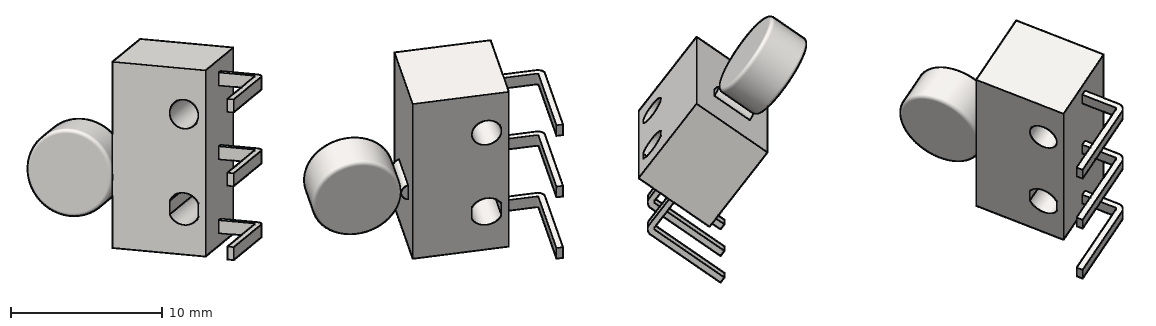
import cadquery as cq

OVERALL_X = 15.96
OVERALL_Y = 8.9

HOUSING_X = 6.5
HOUSING_Y = 5.81
HOUSING_Z = 12.8

HOLE_X = 5.0
HOLE_Z = 3.25
HOLE_DIAMETER = 2.0
SLOT_DIAMETER = 2.2

TERMINAL_WIDTH = 0.9
TERMINAL_PITCH = 5.08
TERMINAL_COUNT = 3
TERMINAL_BACK_Y = 0.2
TERMINAL_TIP_Y = HOUSING_Y / 2 - OVERALL_Y
ROOT_THICKNESS = 0.4
LEG_THICKNESS = 0.45
BEND_OUTER_RADIUS = 0.5
BEND_INNER_RADIUS = 0.1

ROLLER_DIAMETER = 6.0
ROLLER_LENGTH = 2.98
ROLLER_EDGE_RADIUS = 0.25
ROLLER_Z = -1.96
PLUNGER_RADIUS = 0.6
PLUNGER_LENGTH = 2.9
PLUNGER_REACH = 0.46

ROLLER_X = -PLUNGER_REACH - ROLLER_DIAMETER / 2
TERMINAL_END_X = ROLLER_X - ROLLER_DIAMETER / 2 + OVERALL_X


def cylinder_along_y(diameter, length, x, z):
    """Cylinder parallel to Y, centred on Y = 0."""
    return (
        cq.Workplane("XZ", origin=(x, length / 2, z))
        .circle(diameter / 2)
        .extrude(length)
    )


def make_slot():
    """Round cutter with two flat sides, for the lower mounting hole."""
    flats = cq.Workplane("XY").box(HOLE_DIAMETER, HOUSING_Y, SLOT_DIAMETER)
    flats = flats.translate((HOLE_X, 0, -HOLE_Z))
    return cylinder_along_y(SLOT_DIAMETER, HOUSING_Y, HOLE_X, -HOLE_Z).intersect(flats)


def make_plunger():
    """Cylinder sunk in the left face of the housing so that only its rounded tip stands out."""
    plunger_x = PLUNGER_RADIUS - PLUNGER_REACH
    return cylinder_along_y(2 * PLUNGER_RADIUS, PLUNGER_LENGTH, plunger_x, ROLLER_Z)


def make_terminal(z):
    """L-shaped strip whose root starts on the right face of the housing."""
    inner_x = TERMINAL_END_X - LEG_THICKNESS
    inner_y = TERMINAL_BACK_Y - ROOT_THICKNESS
    strip = (
        cq.Workplane("XY", origin=(0, 0, z - TERMINAL_WIDTH / 2))
        .moveTo(HOUSING_X, TERMINAL_BACK_Y)
        .lineTo(TERMINAL_END_X, TERMINAL_BACK_Y)
        .lineTo(TERMINAL_END_X, TERMINAL_TIP_Y)
        .lineTo(inner_x, TERMINAL_TIP_Y)
        .lineTo(inner_x, inner_y)
        .lineTo(HOUSING_X, inner_y)
        .close()
        .extrude(TERMINAL_WIDTH)
    )
    outer_corner = (TERMINAL_END_X, TERMINAL_BACK_Y, z)
    inner_corner = (inner_x, inner_y, z)
    strip = strip.edges(cq.NearestToPointSelector(outer_corner)).fillet(BEND_OUTER_RADIUS)
    return strip.edges(cq.NearestToPointSelector(inner_corner)).fillet(BEND_INNER_RADIUS)


def make_switch():
    """Housing with its mounting holes, plunger and terminals."""
    switch = cq.Workplane("XY").box(HOUSING_X, HOUSING_Y, HOUSING_Z)
    switch = switch.translate((HOUSING_X / 2, 0, 0))
    switch = switch.union(make_plunger())
    switch = switch.cut(cylinder_along_y(HOLE_DIAMETER, HOUSING_Y, HOLE_X, HOLE_Z))
    switch = switch.cut(make_slot())
    for index in range(TERMINAL_COUNT):
        z = (index - (TERMINAL_COUNT - 1) / 2) * TERMINAL_PITCH
        switch = switch.union(make_terminal(z))
    return switch


def make_roller():
    """Disc with rounded rims."""
    roller = cylinder_along_y(ROLLER_DIAMETER, ROLLER_LENGTH, ROLLER_X, ROLLER_Z)
    return roller.faces("<Y or >Y").edges().fillet(ROLLER_EDGE_RADIUS)


switch = make_switch()
roller = make_roller()

result = cq.Compound.makeCompound([switch.val(), roller.val()])